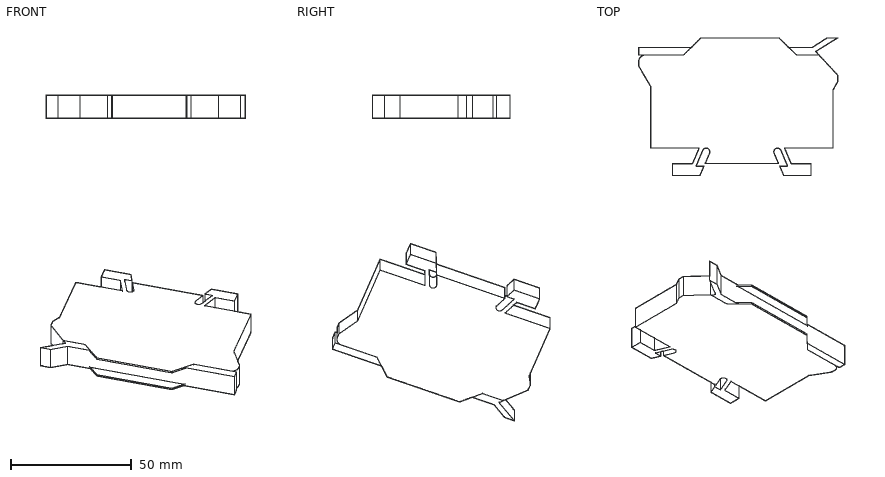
import cadquery as cq
import math

length = 82.55
height = 57.1
thickness = 9.65

base_y = 5.0
hook_y = 4.0
belly_y = 11.4
shoulder_y = 49.95
strip_top_y = 53.2

rail_axis_x = 42.8
block_half_width = 37.8
left_neck_y = 37.0
left_cheek_y = 45.4
left_corner_radius = 5.4 / 2
right_neck_y = 35.5
right_cheek_low_y = 39.05
right_cheek_high_y = 41.6
right_shoulder_x = 74.8

cover_base_left_x = 18.6
cover_base_right_x = 65.5
cover_top_left_x = 25.8
cover_top_right_x = 58.1
cover_wall = 0.75

foot_outer = 28.7
foot_inner = 17.3
spring_angle = math.radians(23)
arm_root = 17.75
slot_centre = 14.8
slot_radius = 1.5

tab_knee_x = 71.9
tab_tip_x = 78.1
tab_notch_y = 51.4

spring_lean = math.tan(spring_angle)
slot_centre_y = belly_y - slot_radius


def plate(points, depth, z_start):
    """Straight prism of the given outline."""
    return cq.Workplane("XY").workplane(offset=z_start).polyline(points).close().extrude(depth)


def make_block():
    """Main block with its rounded left shoulder and sloping right shoulder."""
    left_x = rail_axis_x - block_half_width
    right_x = rail_axis_x + block_half_width
    outline = [
        (left_x, belly_y),
        (right_x, belly_y),
        (right_x, right_neck_y),
        (length, right_cheek_low_y),
        (length, right_cheek_high_y),
        (right_shoulder_x, shoulder_y),
        (0, shoulder_y),
        (0, left_cheek_y),
        (left_x, left_neck_y),
    ]
    left_corner = cq.selectors.NearestToPointSelector((0, shoulder_y, thickness / 2))
    return plate(outline, thickness, 0).edges(left_corner).fillet(left_corner_radius)


def make_cover_walls():
    """Two trapezoid side walls of the raised cover, with the strip slot between them."""
    outline = [
        (cover_base_left_x, shoulder_y),
        (cover_base_right_x, shoulder_y),
        (cover_top_right_x, height),
        (cover_top_left_x, height),
    ]
    low_wall = plate(outline, cover_wall, 0)
    high_wall = plate(outline, cover_wall, thickness - cover_wall)
    return low_wall, high_wall


def slot_side(side, y):
    """Distance from the rail axis to a slot side at height y: +1 outer side, -1 inner side."""
    half_width_along_x = slot_radius / math.cos(spring_angle)
    return slot_centre + (slot_centre_y - y) * spring_lean + side * half_width_along_x


def make_rail_mount():
    """Centre block with a hooked foot hanging from a leaning spring arm on each side."""
    tangent_x = slot_radius * math.cos(spring_angle)
    tangent_y = slot_radius * math.sin(spring_angle)
    hook_tip = foot_inner - hook_y * spring_lean
    arm_foot = arm_root + (belly_y - base_y) * spring_lean

    half = (
        cq.Workplane("XY")
        .moveTo(0, base_y)
        .lineTo(slot_side(-1, base_y), base_y)
        .lineTo(slot_centre - tangent_x, slot_centre_y - tangent_y)
        .threePointArc(
            (slot_centre, belly_y),
            (slot_centre + tangent_x, slot_centre_y + tangent_y),
        )
        .lineTo(slot_side(1, hook_y), hook_y)
        .lineTo(hook_tip, hook_y)
        .lineTo(foot_inner, 0)
        .lineTo(foot_outer, 0)
        .lineTo(foot_outer, base_y)
        .lineTo(arm_foot, base_y)
        .lineTo(arm_root, belly_y)
        .lineTo(arm_root, right_neck_y)
        .lineTo(0, right_neck_y)
        .close()
        .extrude(thickness)
    )
    return half.union(half.mirror("YZ")).translate((rail_axis_x, 0, 0))


def make_housing():
    """Block, rail mount and cover walls joined into one solid."""
    housing = make_block().union(make_rail_mount())
    for wall in make_cover_walls():
        housing = housing.union(wall)
    return housing


def make_marker_strip(housing):
    """Strip on the shoulders, narrowed to pass through the cover slot, with a raised pull tab."""
    shoulder_run = (length - right_shoulder_x) / (shoulder_y - right_cheek_high_y)
    tab_notch_x = right_shoulder_x - (tab_notch_y - shoulder_y) * shoulder_run
    outline = [
        (0, shoulder_y),
        (right_shoulder_x, shoulder_y),
        (tab_notch_x, tab_notch_y),
        (length, height),
        (tab_tip_x, height),
        (tab_knee_x, strip_top_y),
        (0, strip_top_y),
    ]
    strip = plate(outline, thickness, 0)
    return strip.cut(housing)


housing = make_housing()
marker_strip = make_marker_strip(housing)

result = cq.Compound.makeCompound([housing.solids().val(), marker_strip.solids().val()])